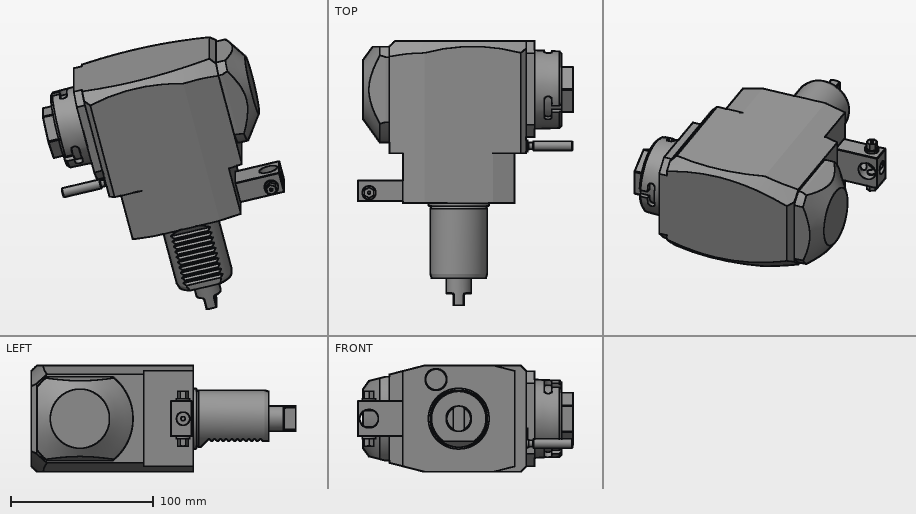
import cadquery as cq
import math


body_height = 75.0
half_height = body_height / 2
back_y = 114.0
step_y = 35.0
body_left = -48.7
body_right = 47.5
front_half_width = 39.2
flat_half_width = 24.0
front_side_height = 67.1
front_side_z = front_side_height / 2
side_slope = (half_height - front_side_z) / (front_half_width - flat_half_width)
edge_chamfer = 3.9
back_cone_radius = 128.3
back_cone_x = 9.9

spindle_y = 79.8
flange_right = 53.4
flange_depth = 67.7
flange_height = 67.0
flange_chamfer = 8.7
clamp_nut_right = 72.4
clamp_nut_radius = 27.7
clamp_nut_end_radius = 27.2
clamp_nut_chamfer = 1.7
hex_right = 80.5
hex_flats = 32.0
hex_corner_radius = 18.2
hex_chamfer = 0.4
slot_left = 60.0
slot_width = 5.4
slot_length = 18.8
slot_floor_radius = 23.6
slot_overcut = 1.9
slit_width = 5.2
slot_angles = (0, 120, 240)

cap_left = -67.3
cap_cone_start = -55.5
cap_flat_end = -51.5
cap_radius = 37.4
cap_face_radius = 20.8
cap_half_height = 29.5
cap_back_y = 110.0
cap_corner = 6.7

rim_radius = 21.4
rim_length = 2.2
rim_round = rim_length / 2
shank_neck_end = -3.9
shank_neck_radius = 19.3
shank_radius = 20.0
shank_end = -53.0
shank_chamfer_length = 3.2
shank_chamfer_depth = 1.0
drive_radius = 9.0
drive_shoulder = -63.8
drive_end = -72.0
tang_width = 7.6
tang_root_radius = 1.1
tang_chamfer = 0.5

tooth_tip_z = -15.8
tooth_depth = 1.7
first_valley_y = -11.0
last_valley_y = -47.0
valley_count = 10
tooth_pitch = (first_valley_y - last_valley_y) / (valley_count - 1)

block_left = -71.0
block_front = 1.1
block_back = 16.0
block_height = 25.0
block_chamfer = 0.4
port_x = -63.0
port_radius = 6.5
port_y = 7.3
side_port_radius = 4.6
side_port_end = -48.4
inner_port_radius = 1.5
inner_port_depth = 1.9
screw_flange_radius = 4.8
screw_flange_height = 1.7
screw_head_flats = 6.5
screw_tip_radius = 3.2
screw_tip_z = 5.5
screw_head_height = 5.2
screw_socket_radius = 1.0
screw_socket_depth = 1.9

pin_y = 40.2
pin_z = -17.5
pin_radius = 3.3
pin_right = 80.0
pin_start = 52.6
pin_chamfer = 0.5
pin_neck_radius = 2.5
pin_neck_start = 49.3
pin_neck_end = 52.0
disc_radius = 4.0
disc_height = 1.0
disc_z = -11.0
plug_x = -16.0
plug_z = 27.5
plug_radius = 7.6
plug_ring_width = 0.4
plug_ring_depth = 0.4


def prism_y(points, y_start, y_end):
    """Extrude an XZ outline from y_start to y_end."""
    plane = cq.Workplane("XZ", origin=(0, y_start, 0))
    return plane.polyline(points).close().extrude(y_start - y_end)


def prism_x(points, x_start, x_end):
    """Extrude a YZ outline from x_start to x_end."""
    plane = cq.Workplane("YZ", origin=(x_start, 0, 0))
    return plane.polyline(points).close().extrude(x_end - x_start)


def rod_x(radius, x_start, x_end, y, z):
    """Round bar along X."""
    return cq.Workplane("YZ", origin=(x_start, y, z)).circle(radius).extrude(x_end - x_start)


def turned_x(profile, y, z):
    """Revolve (x, radius) points about the X-parallel axis through (y, z)."""
    return cq.Workplane("XY", origin=(0, y, z)).polyline(profile).close().revolve(360, (0, 0), (1, 0))


def mirrored_outline(upper):
    """Close an upper outline with its mirror image below z = 0."""
    return upper + [(u, -z) for u, z in reversed(upper)]


def make_body():
    left_z = half_height - side_slope * (-flat_half_width - body_left)
    front = prism_y(
        mirrored_outline([
            (-front_half_width, front_side_z),
            (-flat_half_width, half_height),
            (flat_half_width, half_height),
            (front_half_width, front_side_z),
        ]),
        0,
        step_y,
    )
    rear = prism_y(
        mirrored_outline([
            (body_left, left_z),
            (-flat_half_width, half_height),
            (body_right - edge_chamfer, half_height),
            (body_right, half_height - edge_chamfer),
        ]),
        step_y,
        back_y,
    )
    rear = rear.edges("|Z and <X and >Y").chamfer(edge_chamfer)

    cone_y = back_y - edge_chamfer - back_cone_radius
    double_cone = (
        cq.Workplane("XZ", origin=(back_cone_x, cone_y, 0))
        .polyline([
            (0, half_height),
            (back_cone_radius, half_height),
            (back_cone_radius + half_height, 0),
            (back_cone_radius, -half_height),
            (0, -half_height),
        ])
        .close()
        .revolve(360, (0, 0), (0, 1))
    )
    return front.union(rear.intersect(double_cone))


def make_cap():
    turned = turned_x(
        [
            (body_left, 0),
            (body_left, cap_radius),
            (cap_cone_start, cap_radius),
            (cap_left, cap_face_radius),
            (cap_left, 0),
        ],
        spindle_y,
        0,
    )
    front_y = spindle_y - cap_radius
    left_z = cap_half_height - side_slope * (cap_flat_end - cap_left)
    tapered = prism_y(
        mirrored_outline([
            (cap_left, left_z),
            (cap_flat_end, cap_half_height),
            (body_left, cap_half_height),
        ]),
        front_y,
        cap_back_y,
    )
    cornered = prism_x(
        mirrored_outline([
            (front_y, cap_half_height),
            (cap_back_y - cap_corner, cap_half_height),
            (cap_back_y, cap_half_height - cap_corner),
        ]),
        cap_left,
        body_left,
    )
    return turned.intersect(tapered).intersect(cornered)


def make_spindle():
    flange = (
        cq.Workplane("YZ", origin=(body_right, back_y - flange_depth / 2, 0))
        .rect(flange_depth, flange_height)
        .extrude(flange_right - body_right)
        .edges("|X")
        .chamfer(flange_chamfer)
    )
    clamp_nut = turned_x(
        [
            (flange_right, 0),
            (flange_right, clamp_nut_radius),
            (clamp_nut_right - clamp_nut_chamfer, clamp_nut_end_radius),
            (clamp_nut_right, clamp_nut_end_radius - clamp_nut_chamfer),
            (clamp_nut_right, 0),
        ],
        spindle_y,
        0,
    )
    for angle in slot_angles:
        clamp_nut = clamp_nut.cut(wrench_slot(angle))
    hex_corners = hex_flats / math.cos(math.pi / 6)
    hex_end = (
        cq.Workplane("YZ", origin=(clamp_nut_right, spindle_y, 0))
        .transformed(rotate=(0, 0, 90))
        .polygon(6, hex_corners)
        .extrude(hex_right - clamp_nut_right)
        .faces(">X")
        .chamfer(hex_chamfer)
    )
    hex_end = hex_end.intersect(rod_x(hex_corner_radius, clamp_nut_right, hex_right, spindle_y, 0))
    return flange.union(clamp_nut).union(hex_end)


def wrench_slot(angle):
    """Rounded slot with a slit to the nut's right face, turned by angle from +Y about the spindle."""
    slot_x = slot_left + slot_width / 2
    reach = clamp_nut_radius + slot_overcut
    slot = (
        cq.Workplane("XZ", origin=(slot_x, spindle_y, 0))
        .slot2D(slot_length, slot_width, 90)
        .extrude(-reach)
    )
    slit = cq.Workplane("XY").box(
        clamp_nut_right - slot_x, reach, slit_width, centered=(False, False, True)
    ).translate((slot_x, spindle_y, 0))
    core = rod_x(slot_floor_radius, slot_left, clamp_nut_right, spindle_y, 0)
    return slot.union(slit).cut(core).rotate((0, spindle_y, 0), (1, spindle_y, 0), angle)


def make_shank():
    turned = (
        cq.Workplane("XY")
        .lineTo(rim_radius - rim_round, 0)
        .threePointArc((rim_radius, -rim_round), (rim_radius - rim_round, -rim_length))
        .polyline([
            (shank_neck_radius, -rim_length),
            (shank_radius, shank_neck_end),
            (shank_radius, shank_end + shank_chamfer_length),
            (shank_radius - shank_chamfer_depth, shank_end),
            (drive_radius, shank_end),
            (drive_radius, drive_end),
            (0, drive_end),
        ], includeCurrent=True)
        .close()
        .revolve(360, (0, 0), (0, 1))
    )
    shank = turned.cut(tooth_cutter()).cut(tang_cutter(1)).cut(tang_cutter(-1))
    flat_sides = cq.selectors.BoxSelector(
        (-tang_width, drive_end - tang_chamfer, -drive_radius),
        (tang_width, drive_shoulder - tang_root_radius - tang_chamfer, drive_radius),
    )
    return shank.edges(flat_sides).edges("|Y").chamfer(tang_chamfer)


def tooth_cutter():
    """Material removed below the shank: a 45 degree run-in, then a row of V grooves."""
    valley_z = tooth_tip_z + tooth_depth
    bottom_z = -rim_radius
    outline = [(first_valley_y + valley_z - bottom_z, bottom_z)]
    for index in range(valley_count):
        valley_y = first_valley_y - index * tooth_pitch
        outline.append((valley_y, valley_z))
        outline.append((valley_y - tooth_depth, tooth_tip_z))
        if index < valley_count - 1:
            outline.append((valley_y - tooth_pitch + tooth_depth, tooth_tip_z))
    outline.append((shank_end, tooth_tip_z))
    outline.append((shank_end, bottom_z))
    return prism_x(outline, -rim_radius, rim_radius)


def tang_cutter(side):
    """Material removed on one side of the driving tang, rounded at the root."""
    tang_side = tang_width / 2
    corner_x = tang_side + tang_root_radius
    corner_y = drive_shoulder - tang_root_radius
    diagonal = tang_root_radius * (1 - math.sqrt(0.5))
    return (
        cq.Workplane("XY", origin=(0, 0, -drive_radius))
        .moveTo(side * tang_side, drive_end)
        .lineTo(side * tang_side, corner_y)
        .threePointArc(
            (side * (tang_side + diagonal), drive_shoulder - diagonal),
            (side * corner_x, drive_shoulder),
        )
        .lineTo(side * drive_radius, drive_shoulder)
        .lineTo(side * drive_radius, drive_end)
        .close()
        .extrude(2 * drive_radius)
    )


def make_coolant_block():
    block = cq.Workplane("XY").box(
        -front_half_width - block_left,
        block_back - block_front,
        block_height,
        centered=(False, False, True),
    ).translate((block_left, block_front, 0))
    block = block.edges("|X or <X").chamfer(block_chamfer)
    port = cq.Workplane("XZ", origin=(port_x, block_front, 0)).circle(port_radius)
    block = block.cut(port.extrude(block_front - block_back))
    block = block.cut(rod_x(side_port_radius, block_left, side_port_end, port_y, 0))
    block = block.cut(
        rod_x(inner_port_radius, side_port_end, side_port_end + inner_port_depth, port_y, 0)
    )
    upper_screw = make_screw()
    return block.union(upper_screw).union(upper_screw.mirror("XY"))


def make_screw():
    """Flanged hexagon screw on top of the coolant block, its tip just reaching into the port."""
    head_corners = screw_head_flats / math.cos(math.pi / 6)
    tip = (
        cq.Workplane("XY", origin=(port_x, port_y, screw_tip_z))
        .circle(screw_tip_radius)
        .extrude(block_height / 2 - screw_tip_z)
    )
    head = (
        cq.Workplane("XY", origin=(port_x, port_y, block_height / 2))
        .circle(screw_flange_radius)
        .extrude(screw_flange_height)
        .faces(">Z")
        .workplane()
        .transformed(rotate=(0, 0, 90))
        .polygon(6, head_corners)
        .extrude(screw_head_height)
        .faces(">Z")
        .workplane()
        .circle(screw_socket_radius)
        .cutBlind(-screw_socket_depth)
    )
    return head.union(tip)


def make_pin():
    pin = turned_x(
        [
            (body_right, 0),
            (body_right, pin_radius),
            (pin_neck_start, pin_neck_radius),
            (pin_neck_end, pin_neck_radius),
            (pin_start, pin_radius),
            (pin_right - pin_chamfer, pin_radius),
            (pin_right, pin_radius - pin_chamfer),
            (pin_right, 0),
        ],
        pin_y,
        pin_z,
    )
    disc = rod_x(disc_radius, body_right, body_right + disc_height, pin_y, disc_z)
    return pin.union(disc)


def plug_ring():
    """Shallow ring around the plug in the front face."""
    return (
        cq.Workplane("XZ", origin=(plug_x, 0, plug_z))
        .circle(plug_radius)
        .circle(plug_radius - plug_ring_width)
        .extrude(-plug_ring_depth)
    )


result = make_body().cut(plug_ring())
for feature in (make_cap(), make_spindle(), make_shank(), make_coolant_block(), make_pin()):
    result = result.union(feature)